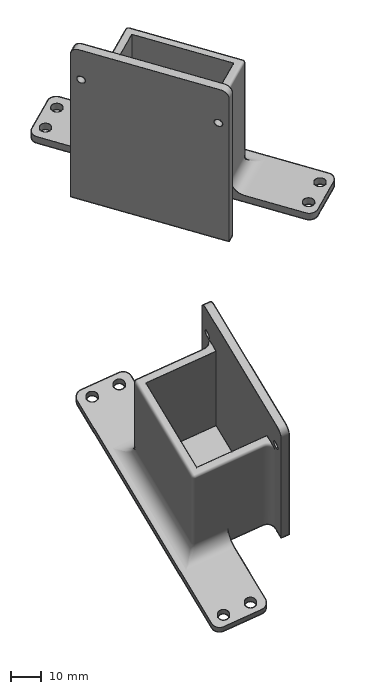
import cadquery as cq

base_length = 101.0
total_depth = 39.0
total_height = 69.0
thickness = 3.0
corner_radius = 3.0

base_depth = 20.0
base_front = total_depth - base_depth
base_hole_diameter = 4.0
base_hole_side_margin = 4.0
base_hole_pitch = 10.0

plate_width = 56.1
plate_hole_diameter = 3.0
plate_hole_x = 24.2
left_hole_z = 55.4
right_hole_z = 53.4

box_width = 42.0
box_back = 32.0
box_height = 52.0
edge_radius = 1.0
plate_blend_radius = 3.0
foot_radius = 4.9


def block(width, front, back, bottom, top):
    """Block centred on X between the given Y and Z limits."""
    return (
        cq.Workplane("XY")
        .box(width, back - front, top - bottom, centered=(True, False, False))
        .translate((0, front, bottom))
    )


def make_base():
    hole_x = base_length / 2 - base_hole_side_margin
    hole_y = base_front + base_depth / 2
    return (
        block(base_length, base_front, total_depth, 0, thickness)
        .edges("|Z")
        .fillet(corner_radius)
        .faces(">Z")
        .workplane(origin=(0, hole_y, 0))
        .rarray(2 * hole_x, base_hole_pitch, 2, 2)
        .hole(base_hole_diameter)
    )


def make_front_plate():
    plate = block(plate_width, 0, thickness, 0, total_height)
    return plate.edges("|Y and >Z").fillet(corner_radius)


def make_plate_holes():
    return (
        cq.Workplane("XZ")
        .pushPoints([(-plate_hole_x, left_hole_z), (plate_hole_x, right_hole_z)])
        .circle(plate_hole_diameter / 2)
        .extrude(-thickness)
    )


def make_foot():
    """Concave skirt around the box, mitred at its two back corners."""
    half = box_width / 2
    foot_top = thickness + foot_radius
    across = (
        cq.Workplane("XZ")
        .moveTo(-half - foot_radius, thickness)
        .radiusArc((-half, foot_top), -foot_radius)
        .lineTo(half, foot_top)
        .radiusArc((half + foot_radius, thickness), -foot_radius)
        .close()
        .extrude(-total_depth)
    )
    along = (
        cq.Workplane("YZ")
        .moveTo(base_front, thickness)
        .lineTo(base_front, foot_top)
        .lineTo(box_back, foot_top)
        .radiusArc((box_back + foot_radius, thickness), -foot_radius)
        .close()
        .extrude(base_length / 2, both=True)
    )
    return across.intersect(along)


def make_box():
    """Solid box and skirt, flared into a flange that ends up inside the front plate."""
    flange_width = box_width + 2 * (plate_blend_radius + edge_radius)
    body = block(box_width, 0, box_back, 0, box_height)
    body = body.union(block(flange_width, 0, thickness, 0, box_height))

    joint = cq.selectors.BoxSelector(
        (-box_width / 2 - edge_radius, thickness - edge_radius, 0),
        (box_width / 2 + edge_radius, thickness + edge_radius, total_height),
    )
    body = body.edges(joint).edges("|Z").fillet(plate_blend_radius)

    corners = cq.selectors.BoxSelector(
        (-base_length, box_back - edge_radius, thickness + foot_radius),
        (base_length, box_back + edge_radius, total_height),
    )
    body = body.union(make_foot()).edges(corners).edges("|Z").fillet(edge_radius)

    rim = body.faces(">Z").edges(cq.selectors.BoxSelector(
        (-base_length, thickness - edge_radius / 2, 0),
        (base_length, total_depth, total_height),
    ))
    return rim.fillet(edge_radius)


def make_pocket():
    return block(
        box_width - 2 * thickness, thickness, box_back - thickness, thickness, total_height
    )


result = (
    make_box()
    .union(make_front_plate())
    .union(make_base())
    .cut(make_pocket())
    .cut(make_plate_holes())
)